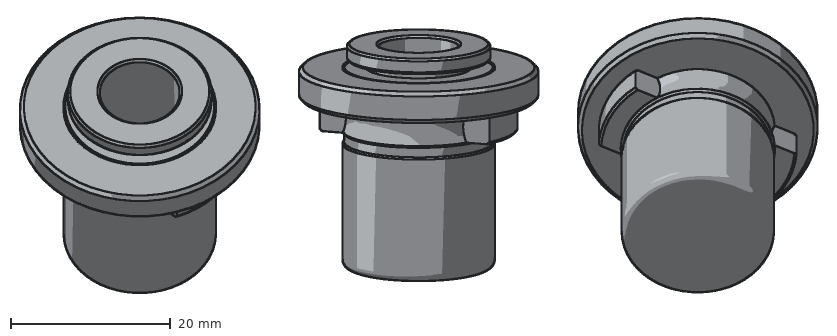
import cadquery as cq

total_height = 28.5
head_thickness = 2.0
neck_length = 1.0
flange_thickness = 4.0
lug_height = 4.0
body_top_z = 16.0

head_bottom_z = total_height - head_thickness
flange_top_z = head_bottom_z - neck_length
flange_bottom_z = flange_top_z - flange_thickness
lug_bottom_z = flange_bottom_z - lug_height

flange_radius = 15.0
head_radius = 9.0
neck_radius = 6.55
body_radius = 9.55
relief_radius = 9.35
waist_radius = 9.3
waist_lip_radius = 9.65
lug_radius = 12.4
bore_radius = 5.0

lug_width = 10.0
bore_depth = 20.0

head_chamfer = 0.3
flange_chamfer = 0.5
lug_chamfer = 0.3
bore_chamfer = 0.3
lip_chamfer = waist_lip_radius - relief_radius
body_chamfer = body_radius - relief_radius
body_chamfer_height = 0.25
bottom_fillet = 1.0
seam_width = 0.25
seam_depth = 0.25


def disc(radius, bottom_z, height):
    """Solid cylinder on the Z axis."""
    return cq.Workplane("XY").workplane(offset=bottom_z).circle(radius).extrude(height)


def revolve_profile(profile):
    """Full turn about the Z axis of a closed XZ profile."""
    return profile.close().revolve(360, (0, 0, 0), (0, 1, 0))


def make_body():
    """Plain cylinder with a rounded bottom edge and a small chamfer below the relief."""
    profile = (
        cq.Workplane("XZ")
        .lineTo(body_radius - bottom_fillet, 0)
        .radiusArc((body_radius, bottom_fillet), -bottom_fillet)
        .lineTo(body_radius, body_top_z - body_chamfer_height)
        .lineTo(body_radius - body_chamfer, body_top_z)
        .lineTo(0, body_top_z)
    )
    return revolve_profile(profile)


def make_waist():
    """Relief cylinder, flared lip and hollow-sided waist up to the flange."""
    waist_middle_z = (lug_bottom_z + flange_bottom_z) / 2
    profile = (
        cq.Workplane("XZ")
        .moveTo(0, body_top_z)
        .lineTo(relief_radius, body_top_z)
        .lineTo(relief_radius, lug_bottom_z - lip_chamfer)
        .lineTo(waist_lip_radius, lug_bottom_z)
        .threePointArc((waist_radius, waist_middle_z), (waist_lip_radius, flange_bottom_z))
        .lineTo(0, flange_bottom_z)
    )
    return revolve_profile(profile)


def make_lugs():
    """Two opposite lugs on the X axis, cut from one chamfered disc by parallel flats."""
    lug_disc = disc(lug_radius, lug_bottom_z, lug_height).edges().chamfer(lug_chamfer)
    slab = (
        cq.Workplane("XY")
        .workplane(offset=lug_bottom_z)
        .rect(2 * lug_radius, lug_width)
        .extrude(lug_height)
    )
    return lug_disc.intersect(slab)


def make_flange():
    """Chamfered flange with a fine V-shaped seam groove in its top face."""
    flange = disc(flange_radius, flange_bottom_z, flange_thickness).edges().chamfer(flange_chamfer)
    seam = (
        cq.Workplane("XZ")
        .moveTo(body_radius - seam_width, flange_top_z)
        .lineTo(body_radius, flange_top_z)
        .lineTo(body_radius, flange_top_z - seam_depth)
    )
    return flange.cut(revolve_profile(seam))


def make_head():
    """Chamfered head disc on its narrower neck."""
    head = disc(head_radius, head_bottom_z, head_thickness).edges().chamfer(head_chamfer)
    return head.union(disc(neck_radius, flange_top_z, neck_length))


def make_bore():
    """Blind bore from the top with a chamfered mouth."""
    floor_z = total_height - bore_depth
    profile = (
        cq.Workplane("XZ")
        .moveTo(0, floor_z)
        .lineTo(bore_radius, floor_z)
        .lineTo(bore_radius, total_height - bore_chamfer)
        .lineTo(bore_radius + bore_chamfer, total_height)
        .lineTo(0, total_height)
    )
    return revolve_profile(profile)


result = (
    make_body()
    .union(make_waist())
    .union(make_lugs())
    .union(make_flange())
    .union(make_head())
    .cut(make_bore())
)